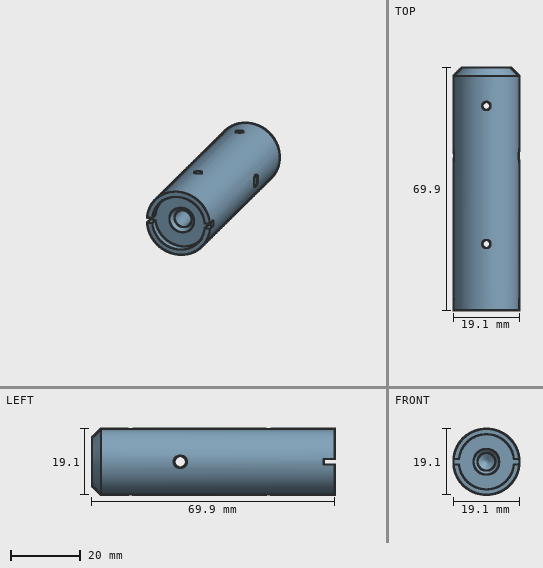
import cadquery as cq
import math

BODY_DIAMETER = 19.05
BODY_LENGTH = 69.85
REAR_CHAMFER = 2.54
FRONT_Y = -BODY_LENGTH / 2

RECESS_DIAMETER = 15.875
RECESS_DEPTH = 3.175
FLOOR_Y = FRONT_Y + RECESS_DEPTH
SLOT_WIDTH = 1.5

BORE_DIAMETER = 5.11
BORE_DEPTH = 12.7
DRILL_POINT_ANGLE = 118.0
COUNTERSINK_DIAMETER = 7.4
COUNTERSINK_ANGLE = 82.0

PIN_HOLE_DIAMETER = 2.29
PIN_HOLE_DISTANCES = (19.05, 58.74)
SIDE_HOLE_DISTANCE = 44.45
SIDE_HOLE_DIAMETER = 3.3
SIDE_SINK_DIAMETER = 3.81
SIDE_SINK_ANGLE = 90.0


def cone_depth(radial_change, included_angle):
    """Axial length over which a cone changes its radius by radial_change."""
    return radial_change / math.tan(math.radians(included_angle / 2))


def make_body():
    bar = (
        cq.Workplane("XZ", origin=(0, FRONT_Y, 0))
        .circle(BODY_DIAMETER / 2)
        .extrude(-BODY_LENGTH)
    )
    return bar.faces(">Y").chamfer(REAR_CHAMFER)


def make_recess():
    return (
        cq.Workplane("XZ", origin=(0, FRONT_Y, 0))
        .circle(RECESS_DIAMETER / 2)
        .extrude(-RECESS_DEPTH)
    )


def make_slot():
    return cq.Workplane("XY").box(BODY_DIAMETER, RECESS_DEPTH, SLOT_WIDTH).translate(
        (0, FRONT_Y + RECESS_DEPTH / 2, 0)
    )


def make_countersunk_bore():
    """Countersink, straight bore and drill point, revolved about the Y axis."""
    bore_radius = BORE_DIAMETER / 2
    sink_radius = COUNTERSINK_DIAMETER / 2
    sink_end_y = FLOOR_Y + cone_depth(sink_radius - bore_radius, COUNTERSINK_ANGLE)
    bore_end_y = FLOOR_Y + BORE_DEPTH
    tip_y = bore_end_y + cone_depth(bore_radius, DRILL_POINT_ANGLE)
    profile = [
        (0, FLOOR_Y),
        (sink_radius, FLOOR_Y),
        (bore_radius, sink_end_y),
        (bore_radius, bore_end_y),
        (0, tip_y),
    ]
    return cq.Workplane("XY").polyline(profile).close().revolve(360, (0, 0), (0, 1))


def make_pin_hole(distance):
    """Hole along Z through the whole body."""
    return (
        cq.Workplane("XY", origin=(0, FRONT_Y + distance, 0))
        .circle(PIN_HOLE_DIAMETER / 2)
        .extrude(BODY_DIAMETER / 2, both=True)
    )


def make_side_hole():
    """Hole along X through the whole body, countersunk at both ends."""
    half_length = BODY_DIAMETER / 2
    hole_radius = SIDE_HOLE_DIAMETER / 2
    sink_radius = SIDE_SINK_DIAMETER / 2
    sink_start_x = half_length - cone_depth(sink_radius - hole_radius, SIDE_SINK_ANGLE)
    profile = [
        (0, 0),
        (0, hole_radius),
        (sink_start_x, hole_radius),
        (half_length, sink_radius),
        (half_length, 0),
    ]
    half_hole = cq.Workplane("XY").polyline(profile).close().revolve(360, (0, 0), (1, 0))
    whole_hole = half_hole.union(half_hole.mirror("YZ"))
    return whole_hole.translate((0, FRONT_Y + SIDE_HOLE_DISTANCE, 0))


result = make_body().cut(make_recess()).cut(make_slot()).cut(make_countersunk_bore())
for pin_distance in PIN_HOLE_DISTANCES:
    result = result.cut(make_pin_hole(pin_distance))
result = result.cut(make_side_hole())